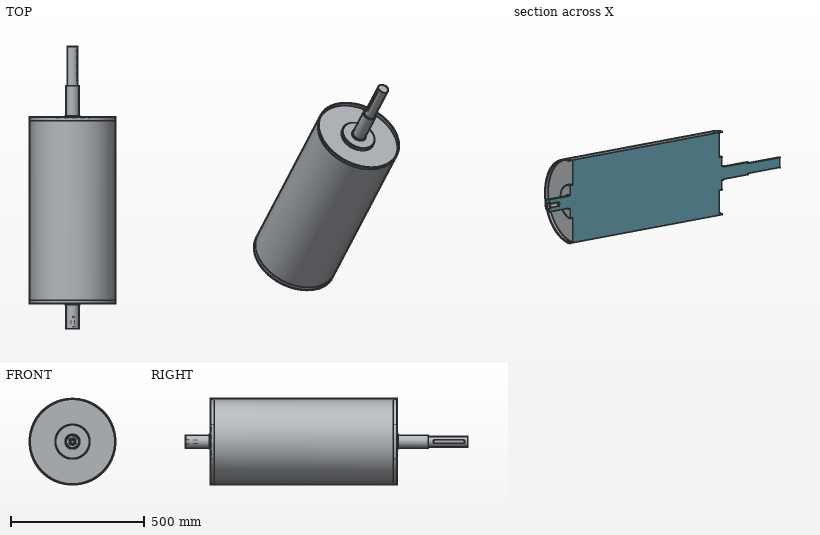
import cadquery as cq
import math

TOTAL_LENGTH = 1060.0
FRONT_JOURNAL_LENGTH = 94.0
DRIVE_END_LENGTH = 147.0
REAR_JOURNAL_LENGTH = 118.0

FRONT_Y = -TOTAL_LENGTH / 2
REAR_Y = TOTAL_LENGTH / 2
SHELL_FRONT_Y = FRONT_Y + FRONT_JOURNAL_LENGTH
DRIVE_STEP_Y = REAR_Y - DRIVE_END_LENGTH
SHELL_REAR_Y = DRIVE_STEP_Y - REAR_JOURNAL_LENGTH

SHELL_DIAMETER = 324.0
RIM_INNER_DIAMETER = 318.0
END_RECESS = 14.0
HUB_DIAMETER = 130.0
HUB_HEIGHT = 13.0
HUB_CHAMFER = 2.0

COLLAR_DIAMETER = 55.0
COLLAR_PROJECTION = 4.0
JOURNAL_DIAMETER = 50.0
JOURNAL_END_CHAMFER = 1.0
DRIVE_DIAMETER = 40.0

KEY_WIDTH = 14.0
KEY_DEPTH = 5.0
KEY_LENGTH = 118.0
KEY_END_GAP = 12.0

CENTRE_MOUTH_DIAMETER = 25.0
CENTRE_RELIEF_DIAMETER = 17.0
CENTRE_BORE_DIAMETER = 14.0
CENTRE_RELIEF_DEPTH = 2.0
CENTRE_DEPTH = 45.0
MOUTH_ANGLE = 60
DRILL_TIP_ANGLE = 118


def cylinder(diameter, start_y, end_y):
    """Solid cylinder on the Y axis between two positions."""
    direction = cq.Vector(0, 1, 0)
    return cq.Workplane(
        cq.Solid.makeCylinder(diameter / 2, end_y - start_y, cq.Vector(0, start_y, 0), direction)
    )


def cone(start_radius, end_radius, start_y, depth):
    """Solid cone on the Y axis, narrowing toward +Y."""
    direction = cq.Vector(0, 1, 0)
    return cq.Workplane(
        cq.Solid.makeCone(start_radius, end_radius, depth, cq.Vector(0, start_y, 0), direction)
    )


def make_drum():
    """Drum with a shallow recess and a raised, chamfered hub at each end."""
    drum = cylinder(SHELL_DIAMETER, SHELL_FRONT_Y, SHELL_REAR_Y)
    disc_front_y = SHELL_FRONT_Y + END_RECESS
    disc_rear_y = SHELL_REAR_Y - END_RECESS
    drum = drum.cut(cylinder(RIM_INNER_DIAMETER, SHELL_FRONT_Y, disc_front_y))
    drum = drum.cut(cylinder(RIM_INNER_DIAMETER, disc_rear_y, SHELL_REAR_Y))
    hub = cylinder(HUB_DIAMETER, disc_front_y - HUB_HEIGHT, disc_rear_y + HUB_HEIGHT)
    return drum.union(hub.faces("<Y or >Y").chamfer(HUB_CHAMFER))


def make_shaft():
    """Stepped shaft with a collar just outside each end of the drum."""
    shaft = cylinder(JOURNAL_DIAMETER, FRONT_Y, DRIVE_STEP_Y)
    shaft = shaft.faces("<Y").chamfer(JOURNAL_END_CHAMFER)
    shaft = shaft.union(cylinder(DRIVE_DIAMETER, DRIVE_STEP_Y, REAR_Y))
    return shaft.union(
        cylinder(COLLAR_DIAMETER, SHELL_FRONT_Y - COLLAR_PROJECTION, SHELL_REAR_Y + COLLAR_PROJECTION)
    )


def make_keyway():
    """Round-ended slot cutter reaching inward from the shaft surface."""
    floor_x = DRIVE_DIAMETER / 2 - KEY_DEPTH
    centre_y = REAR_Y - KEY_END_GAP - KEY_LENGTH / 2
    return (
        cq.Workplane("YZ", origin=(floor_x, centre_y, 0))
        .slot2D(KEY_LENGTH, KEY_WIDTH)
        .extrude(DRIVE_DIAMETER)
    )


def make_centre_hole():
    """Centre-drilled bore with a conical mouth, a short relief and a drill-point bottom."""
    mouth_radius = CENTRE_MOUTH_DIAMETER / 2
    relief_radius = CENTRE_RELIEF_DIAMETER / 2
    cone_depth = (mouth_radius - relief_radius) / math.tan(math.radians(MOUTH_ANGLE / 2))
    hole = cylinder(CENTRE_BORE_DIAMETER, FRONT_Y, FRONT_Y + CENTRE_DEPTH)
    relief_end_y = FRONT_Y + cone_depth + CENTRE_RELIEF_DEPTH
    hole = hole.union(cylinder(CENTRE_RELIEF_DIAMETER, FRONT_Y, relief_end_y))
    bore_radius = CENTRE_BORE_DIAMETER / 2
    tip_depth = bore_radius / math.tan(math.radians(DRILL_TIP_ANGLE / 2))
    mouth = cone(mouth_radius, relief_radius, FRONT_Y, cone_depth)
    drill_tip = cone(bore_radius, 0, FRONT_Y + CENTRE_DEPTH, tip_depth)
    return hole.union(mouth).union(drill_tip)


result = make_drum().union(make_shaft()).cut(make_keyway()).cut(make_centre_hole())